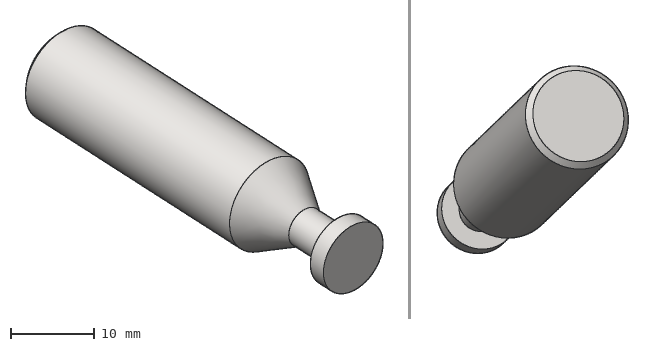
import cadquery as cq

total_length = 53.2
shank_diameter = 12.7
shank_length = 37.9
end_chamfer = 0.75
neck_diameter = 5.2
neck_start = 44.4
head_diameter = 9.5
head_thickness = 2.4

shank_radius = shank_diameter / 2
neck_radius = neck_diameter / 2
head_radius = head_diameter / 2
head_start = total_length - head_thickness

profile = (
    cq.Workplane("XZ")
    .moveTo(0, 0)
    .lineTo(0, shank_radius - end_chamfer)
    .lineTo(end_chamfer, shank_radius)
    .lineTo(shank_length, shank_radius)
    .lineTo(neck_start, neck_radius)
    .lineTo(head_start, neck_radius)
    .lineTo(head_start, head_radius)
    .lineTo(total_length, head_radius)
    .lineTo(total_length, 0)
    .close()
)

turned_part = profile.revolve(360, (0, 0, 0), (1, 0, 0))
result = turned_part.translate((-total_length / 2, 0, 0))